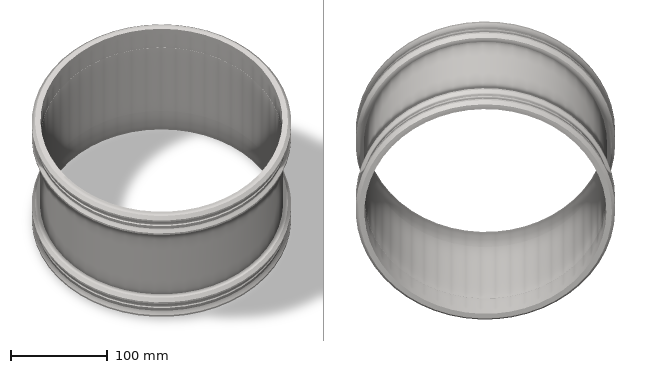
import cadquery as cq

total_height = 159.0
ring_height = 29.5
tube_outer_radius = 251.8 / 2
tube_inner_radius = 250.0 / 2
ring_bore_radius = 250.1 / 2
ring_outer_radius = 268.5 / 2
land_radius = 261.7 / 2
flange_height = 9.0
flange_rim_height = 2.5
ridge_height = 1.5
ridge_depth = 1.0

bevel_height = (flange_height - flange_rim_height) / 2
upper_ring_base = total_height - ring_height
tube_height = total_height - 2 * ring_height


def make_tube():
    """Thin tube spanning the space between the two end rings."""
    return (
        cq.Workplane("XY")
        .workplane(offset=ring_height)
        .circle(tube_outer_radius)
        .circle(tube_inner_radius)
        .extrude(tube_height)
    )


def flange_points(base):
    """Outer profile of one double-bevelled flange, from bottom to top."""
    return [
        (land_radius, base),
        (ring_outer_radius, base + bevel_height),
        (ring_outer_radius, base + bevel_height + flange_rim_height),
        (land_radius, base + flange_height),
    ]


def make_ring(base):
    """End ring with two flanges and a ridge midway along the channel between them."""
    middle = base + ring_height / 2
    ridge_points = [
        (land_radius, middle - ridge_height / 2),
        (land_radius + ridge_depth, middle),
        (land_radius, middle + ridge_height / 2),
    ]
    profile = [
        (ring_bore_radius, base),
        *flange_points(base),
        *ridge_points,
        *flange_points(base + ring_height - flange_height),
        (ring_bore_radius, base + ring_height),
    ]
    return cq.Workplane("XZ").polyline(profile).close().revolve(360, (0, 0), (0, 1))


spool = make_ring(0).union(make_tube())

upper_ring = make_ring(upper_ring_base)

result = cq.Compound.makeCompound([spool.val(), upper_ring.val()])